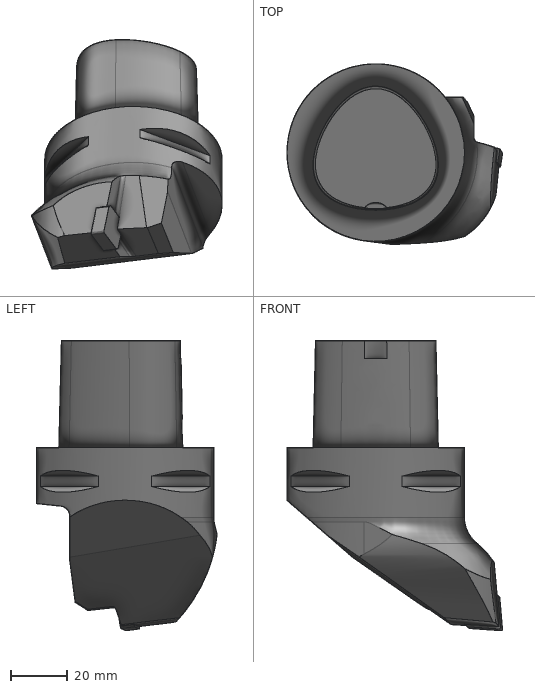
import cadquery as cq
import math

BIG = 123.6

SHANK_HEIGHT = 38.0
SHANK_BASE_RADIUS = 22.0
SHANK_BASE_LOBE = 1.5
SHANK_TOP_RADIUS = 21.2
SHANK_TOP_LOBE = 1.4
SHANK_SEGMENTS = 6
KEY_DIAMETER = 10.1
KEY_HEIGHT = 6.4
KEY_CENTER_Y = -22.8

FLANGE_RADIUS = 31.5
FLANGE_HEIGHT = 24.8
GROOVE_Z = -11.9
GROOVE_FLOOR_DISTANCE = 27.9
GROOVE_FLOOR_WIDTH = 3.6
GROOVE_SIDE_ANGLE = 30.0

NECK_FILLET = 11.6
NECK_ANGLE = 53.0
FLARE_POINTS = [(40.6, -38.7), (43.5, -43.1), (45.8, -48.0)]
HEAD_BOTTOM_Z = -72.1

HEAD_BACK_RADIUS = 31.6
HEAD_TANGENT_X = -4.1
HEAD_LINE_END_X = 20.6
NOSE_ARC = [(31.6, -29.8), (40.7, -19.9), (42.5, -15.6)]
OUTLINE_MARGIN = 51.5

FLANK_RADIUS = 54.6
FLANK_Y = 21.5
FLANK_Z = -24.2

UPPER_SLANT = ((-FLANGE_RADIUS, 0, -18.6), (-0.87, 0, -1))
LOWER_SLANT = ((-8.0, 19.7, -39.0), (-0.7, -0.033, -1))
END_FACE = ((26.4, 1.5, -62.8), (-0.08, -0.11, -1))
SIDE_FACE = ((42.0, 1.0, -40.9), (1, -0.09, 0.1))
RAKE_FACE = ((36.0, 3.7, -34.3), (0.15, 1, -0.13))

WEB_X = 34.9
POCKET_FILLET = 1.4
POCKET_CORNERS = [(34.9, 3.1, -40.2), (-13.4, 8.2, -56.6)]
WEB_CORNER_FACE = ((30.7, 19.8, -34.0), (1, 0.44, 0.05))
WEB_END_FACE = ((18.5, 4.9, -56.4), (-0.03, -0.11, -1))
WEB_TIP_FACE = ((15.5, 17.9, -54.5), (-0.02, 0.62, -1))
WEB_SIDE_FACE = ((0, 19.7, -40.2), (0, 1, -0.13))

RELIEF_Y = 19.7
RELIEF_OUTER_Z = -19.9
RELIEF_INNER_Z = -21.1
RELIEF_FILLET = 3.6

INSERT_NOSE = (44.9, -64.9)
INSERT_SIDE = 13.2
INSERT_ANGLE = 80.0
INSERT_LEAD = 4.0
INSERT_THICKNESS = 4.9
INSERT_STANDOUT = 1.2
INSERT_CORNER_CUT = 1.1
INSERT_NOSE_RADIUS = 0.5


def shank_point(radius, lobe, angle):
    """Point of the three-lobed shank section; angle 0 is the lobe on +Y."""
    x = radius * math.sin(angle) - lobe * math.sin(2 * angle)
    y = radius * math.cos(angle) + lobe * math.cos(2 * angle)
    return x, y


def shank_wire(radius, lobe, z, points_per_segment=8):
    step = 2 * math.pi / SHANK_SEGMENTS
    edges = []
    for segment in range(SHANK_SEGMENTS):
        start = (segment + 0.5) * step
        angles = [start + step * i / points_per_segment for i in range(points_per_segment + 1)]
        points = [cq.Vector(*shank_point(radius, lobe, angle), z) for angle in angles]
        edges.append(cq.Edge.makeSpline(points))
    return cq.Wire.assembleEdges(edges)


def make_shank():
    base = shank_wire(SHANK_BASE_RADIUS, SHANK_BASE_LOBE, 0)
    top = shank_wire(SHANK_TOP_RADIUS, SHANK_TOP_LOBE, SHANK_HEIGHT)
    shank = cq.Workplane(cq.Solid.makeLoft([base, top], True))
    keyway = (
        cq.Workplane("XY", origin=(0, KEY_CENTER_Y, SHANK_HEIGHT - KEY_HEIGHT))
        .circle(KEY_DIAMETER / 2)
        .extrude(KEY_HEIGHT)
    )
    return shank.cut(keyway)


def trim_block(face):
    """Block on the outward side of a flat face."""
    point, normal = face
    plane = cq.Plane(origin=point, normal=normal)
    return cq.Workplane(plane).rect(2 * BIG, 2 * BIG).extrude(BIG)


def trim(body, *faces):
    for face in faces:
        body = body.cut(trim_block(face))
    return body


def make_turned_head():
    """Neck fillet below the flange and the rounded flare that continues it."""
    turn = math.radians(NECK_ANGLE)
    neck_radius = FLANGE_RADIUS + NECK_FILLET * (1 - math.cos(turn))
    neck_z = -FLANGE_HEIGHT - NECK_FILLET * math.sin(turn)
    return (
        cq.Workplane("XZ")
        .moveTo(0, -FLANGE_HEIGHT)
        .lineTo(FLANGE_RADIUS, -FLANGE_HEIGHT)
        .radiusArc((neck_radius, neck_z), -NECK_FILLET)
        .spline(FLARE_POINTS, includeCurrent=True)
        .lineTo(FLARE_POINTS[-1][0], HEAD_BOTTOM_Z)
        .lineTo(0, HEAD_BOTTOM_Z)
        .close()
        .revolve(360, (0, 0, 0), (0, 1, 0))
    )


def make_head_envelope():
    """Plan outline of the head, limited on -Y by the convex flank."""
    tangent_y = -math.sqrt(HEAD_BACK_RADIUS**2 - HEAD_TANGENT_X**2)
    tangent_slope = -HEAD_TANGENT_X / tangent_y
    line_end_y = tangent_y + tangent_slope * (HEAD_LINE_END_X - HEAD_TANGENT_X)
    middle = HEAD_BACK_RADIUS * math.sqrt(0.5)
    nose_start, nose_middle, nose_end = NOSE_ARC
    plan = (
        cq.Workplane("XY", origin=(0, 0, HEAD_BOTTOM_Z))
        .moveTo(-HEAD_BACK_RADIUS, 0)
        .threePointArc((-middle, -middle), (HEAD_TANGENT_X, tangent_y))
        .lineTo(HEAD_LINE_END_X, line_end_y)
        .lineTo(*nose_start)
        .threePointArc(nose_middle, nose_end)
        .lineTo(OUTLINE_MARGIN, 0)
        .lineTo(OUTLINE_MARGIN, OUTLINE_MARGIN)
        .lineTo(-HEAD_BACK_RADIUS, OUTLINE_MARGIN)
        .close()
        .extrude(-HEAD_BOTTOM_Z)
    )
    flank = (
        cq.Workplane("YZ", origin=(-BIG / 2, 0, 0))
        .center(FLANK_Y, FLANK_Z)
        .circle(FLANK_RADIUS)
        .extrude(BIG)
    )
    return plan.intersect(flank)


def make_relief():
    """Space beyond the head on +Y, below the underside of the flange."""
    return (
        cq.Workplane("YZ", origin=(-BIG / 2, 0, 0))
        .moveTo(RELIEF_Y, HEAD_BOTTOM_Z)
        .lineTo(RELIEF_Y, RELIEF_INNER_Z)
        .lineTo(FLANGE_RADIUS, RELIEF_OUTER_Z)
        .lineTo(OUTLINE_MARGIN, RELIEF_OUTER_Z)
        .lineTo(OUTLINE_MARGIN, HEAD_BOTTOM_Z)
        .close()
        .extrude(BIG)
        .edges(cq.selectors.NearestToPointSelector((0, RELIEF_Y, RELIEF_INNER_Z)))
        .fillet(RELIEF_FILLET)
    )


def make_groove():
    """Gripper groove on the +X side: a flat floor with sloping sides."""
    depth = FLANGE_RADIUS - GROOVE_FLOOR_DISTANCE
    half_floor = GROOVE_FLOOR_WIDTH / 2
    half_mouth = half_floor + depth * math.tan(math.radians(GROOVE_SIDE_ANGLE))
    return (
        cq.Workplane("XZ", origin=(0, FLANGE_RADIUS, GROOVE_Z))
        .moveTo(GROOVE_FLOOR_DISTANCE, half_floor)
        .lineTo(FLANGE_RADIUS, half_mouth)
        .lineTo(FLANGE_RADIUS, -half_mouth)
        .lineTo(GROOVE_FLOOR_DISTANCE, -half_floor)
        .close()
        .extrude(2 * FLANGE_RADIUS)
    )


def make_insert():
    """Rhombic prism set into the rake face, with its blunt corners cut off and its nose rounded."""
    (px, py, pz), (nx, ny, nz) = RAKE_FACE
    nose_x, nose_z = INSERT_NOSE
    nose_y = py - (nx * (nose_x - px) + nz * (nose_z - pz)) / ny
    plane = cq.Plane(origin=(nose_x, nose_y, nose_z), xDir=(-ny, nx, 0), normal=RAKE_FACE[1])
    low = math.radians(INSERT_LEAD)
    high = math.radians(INSERT_LEAD + INSERT_ANGLE)
    low_corner = (INSERT_SIDE * math.cos(low), INSERT_SIDE * math.sin(low))
    high_corner = (INSERT_SIDE * math.cos(high), INSERT_SIDE * math.sin(high))
    far_corner = (low_corner[0] + high_corner[0], low_corner[1] + high_corner[1])
    body = (
        cq.Workplane(plane)
        .workplane(offset=INSERT_STANDOUT - INSERT_THICKNESS)
        .polyline([(0, 0), low_corner, far_corner, high_corner])
        .close()
        .extrude(INSERT_THICKNESS)
    )
    middle_height = INSERT_STANDOUT - INSERT_THICKNESS / 2
    for corner in (low_corner, high_corner):
        middle = plane.toWorldCoords((*corner, middle_height))
        edge = cq.selectors.NearestToPointSelector(middle.toTuple())
        body = body.edges(edge).chamfer(INSERT_CORNER_CUT)
    nose = plane.toWorldCoords((0, 0, middle_height))
    nose_edge = cq.selectors.NearestToPointSelector(nose.toTuple())
    return body.edges(nose_edge).fillet(INSERT_NOSE_RADIUS)


def make_chip_pocket():
    """Space in front of the rake face, around the web, with rounded inner corners."""
    web_limit = ((WEB_X, 0, 0), (1, 0, 0))
    web = trim(
        cq.Workplane("XY").box(BIG, BIG, BIG),
        web_limit, WEB_CORNER_FACE, WEB_END_FACE, WEB_TIP_FACE, WEB_SIDE_FACE,
    )
    flange_keep = cq.Workplane("XY").box(BIG, BIG, 2 * FLANGE_HEIGHT)
    pocket = trim_block(RAKE_FACE).cut(web).cut(flange_keep)
    for corner in POCKET_CORNERS:
        edge = cq.selectors.NearestToPointSelector(corner)
        pocket = pocket.edges(edge).fillet(POCKET_FILLET)
    return pocket


def make_holder(insert):
    """Shank, flange and head in one, with a seat that fits the insert."""
    flange = cq.Workplane("XY").circle(FLANGE_RADIUS).extrude(-FLANGE_HEIGHT)
    head = make_turned_head().intersect(make_head_envelope()).union(flange)
    head = head.cut(make_relief())
    head = trim(head, UPPER_SLANT, LOWER_SLANT, END_FACE, SIDE_FACE)
    head = head.cut(make_chip_pocket())

    for quarter in range(4):
        head = head.cut(make_groove().rotate((0, 0, 0), (0, 0, 1), 45 + 90 * quarter))
    return head.union(make_shank()).cut(insert)


insert = make_insert()
holder = make_holder(insert)
result = cq.Compound.makeCompound([holder.solids().val(), insert.solids().val()])